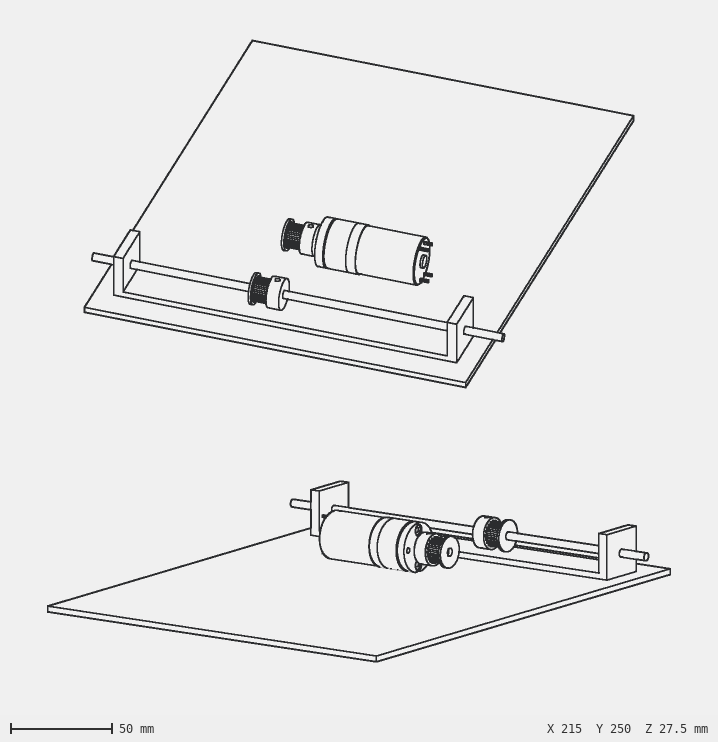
import cadquery as cq

PLATE_LENGTH = 200.0
PLATE_WIDTH = 250.0
PLATE_THICKNESS = 3.0

BRACKET_LENGTH = 180.0
BRACKET_WIDTH = 25.0
BRACKET_HEIGHT = 23.0
BRACKET_WALL = 5.0
BRACKET_FLOOR = 3.0
BRACKET_EDGE_GAP = 15.0

ROD_DIAMETER = 4.0
ROD_LENGTH = 215.0
ROD_START_X = -105.0
ROD_Y = -PLATE_WIDTH / 2 + BRACKET_EDGE_GAP + BRACKET_WIDTH / 2
ROD_Z = PLATE_THICKNESS + BRACKET_HEIGHT / 2

PULLEY_START_X = -21.0
PULLEY_LENGTH = 16.0
PULLEY_END_X = PULLEY_START_X + PULLEY_LENGTH
PULLEY_DIAMETER = 16.0
PULLEY_BORE = ROD_DIAMETER
HUB_LENGTH = 6.8
RIM_THICKNESS = 1.2
RIM_SLOPE = 0.5
TOOTH_DIAMETER = 12.2
TOOTH_COUNT = 20
TOOTH_GROOVE_DIAMETER = 1.0
SET_SCREW_DIAMETER = 2.5

GEARBOX_DIAMETER = 25.0
CAN_DIAMETER = 24.2
NECK_DIAMETER = CAN_DIAMETER
CAN_CHAMFER = 0.5
CAN_SIDE_Y = -60.0
MOTOR_Y = CAN_SIDE_Y + CAN_DIAMETER / 2
MOTOR_Z = 15.0

FRONT_CAP_LENGTH = 4.2
NECK_LENGTH = 0.5
GEARBOX_LENGTH = 11.5
MOTOR_RING_LENGTH = 5.0
CAN_LENGTH = 30.8

CAP_X = -2.0
NECK_X = CAP_X + FRONT_CAP_LENGTH
GEARBOX_X = NECK_X + NECK_LENGTH
RING_X = GEARBOX_X + GEARBOX_LENGTH
CAN_X = RING_X + MOTOR_RING_LENGTH
CAN_END_X = CAN_X + CAN_LENGTH

FRONT_BOSS_DIAMETER = 7.0
FRONT_BOSS_LENGTH = 2.0
REAR_BOSS_DIAMETER = 6.5
REAR_BOSS_LENGTH = 1.2

SHAFT_DIAMETER = PULLEY_BORE
SHAFT_RECESS = 2.0
SHAFT_FLAT_HEIGHT = 1.5

FACE_HOLE_COUNT = 4
FACE_HOLE_RADIUS = 8.8
FACE_HOLE_DIAMETER = 2.5
COUNTERBORE_COUNT = 2
COUNTERBORE_DIAMETER = 5.5
COUNTERBORE_DEPTH = 1.0

TERMINAL_LENGTH = 4.2
TERMINAL_THICKNESS = 1.0
TERMINAL_Y_OFFSET = 2.8
TERMINAL_Z_OFFSET = 9.2


def x_cylinder(diameter, start, length, y, z):
    """Cylinder along +X whose first face is at X = start."""
    return cq.Workplane("YZ", origin=(start, y, z)).circle(diameter / 2).extrude(length)


def motor_cylinder(diameter, start, length):
    """Cylinder on the axis of the gear motor."""
    return x_cylinder(diameter, start, length, MOTOR_Y, MOTOR_Z)


def standing_block(length, width, height, y, z):
    """Block centred on X = 0 and on the given Y, with its lower face at the given Z."""
    return cq.Workplane("XY", origin=(0, y, z)).box(length, width, height, centered=(True, True, False))


def make_plate():
    """Flat plate with a shallow trough that the gear motor lies in."""
    plate = standing_block(PLATE_LENGTH, PLATE_WIDTH, PLATE_THICKNESS, 0, 0)
    gearbox_trough = motor_cylinder(GEARBOX_DIAMETER, CAP_X, CAN_X - CAP_X)
    can_trough = motor_cylinder(CAN_DIAMETER, CAN_X, CAN_LENGTH)
    return plate.cut(gearbox_trough).cut(can_trough)


def make_bracket():
    """Floor with a wall at each end, both walls bored for the rod."""
    blank = standing_block(BRACKET_LENGTH, BRACKET_WIDTH, BRACKET_HEIGHT, ROD_Y, PLATE_THICKNESS)
    opening = standing_block(
        BRACKET_LENGTH - 2 * BRACKET_WALL,
        BRACKET_WIDTH,
        BRACKET_HEIGHT - BRACKET_FLOOR,
        ROD_Y,
        PLATE_THICKNESS + BRACKET_FLOOR,
    )
    rod_hole = x_cylinder(ROD_DIAMETER, -BRACKET_LENGTH / 2, BRACKET_LENGTH, ROD_Y, ROD_Z)
    return blank.cut(opening).cut(rod_hole)


def make_rod():
    return x_cylinder(ROD_DIAMETER, ROD_START_X, ROD_LENGTH, ROD_Y, ROD_Z)


def make_pulley(y, z):
    """Pulley on an X axis at the given Y and Z, with its set screw hole on top of the hub."""
    rim_radius = PULLEY_DIAMETER / 2
    tooth_radius = TOOTH_DIAMETER / 2
    rim_x = PULLEY_START_X + RIM_THICKNESS
    hub_x = PULLEY_END_X - HUB_LENGTH
    body = (
        cq.Workplane("XY")
        .polyline([
            (PULLEY_START_X, 0),
            (PULLEY_START_X, rim_radius),
            (rim_x, rim_radius),
            (rim_x + RIM_SLOPE, tooth_radius),
            (hub_x - RIM_SLOPE, tooth_radius),
            (hub_x, rim_radius),
            (PULLEY_END_X, rim_radius),
            (PULLEY_END_X, 0),
        ])
        .close()
        .revolve(360, (0, 0, 0), (1, 0, 0))
        .translate((0, y, z))
    )
    tooth_grooves = (
        cq.Workplane("YZ", origin=(rim_x, y, z))
        .polarArray(tooth_radius, 0, 360, TOOTH_COUNT)
        .circle(TOOTH_GROOVE_DIAMETER / 2)
        .extrude(hub_x - rim_x)
    )
    bore = x_cylinder(PULLEY_BORE, PULLEY_START_X, PULLEY_LENGTH, y, z)
    set_screw_hole = (
        cq.Workplane("XY", origin=(PULLEY_END_X - HUB_LENGTH / 2, y, z))
        .circle(SET_SCREW_DIAMETER / 2)
        .extrude(rim_radius)
    )
    return body.cut(tooth_grooves).cut(bore).cut(set_screw_hole)


def make_shaft():
    """Output shaft with a flat on top, ending inside the pulley bore."""
    start_x = PULLEY_START_X + SHAFT_RECESS
    shaft = motor_cylinder(SHAFT_DIAMETER, start_x, CAP_X - start_x)
    flat = cq.Workplane("XY", origin=(start_x, MOTOR_Y, MOTOR_Z + SHAFT_FLAT_HEIGHT)).box(
        PULLEY_END_X - start_x, SHAFT_DIAMETER, SHAFT_DIAMETER, centered=(False, True, False)
    )
    return shaft.cut(flat)


def make_front_cap():
    """Front disc with its boss, output shaft and mounting holes."""
    disc = motor_cylinder(GEARBOX_DIAMETER, CAP_X, FRONT_CAP_LENGTH)
    boss = motor_cylinder(FRONT_BOSS_DIAMETER, CAP_X - FRONT_BOSS_LENGTH, FRONT_BOSS_LENGTH)
    face = cq.Workplane("YZ", origin=(CAP_X, MOTOR_Y, MOTOR_Z))
    holes = (
        face.polarArray(FACE_HOLE_RADIUS, 0, 360, FACE_HOLE_COUNT)
        .circle(FACE_HOLE_DIAMETER / 2)
        .extrude(FRONT_CAP_LENGTH)
    )
    counterbores = (
        face.polarArray(FACE_HOLE_RADIUS, 90, 360, COUNTERBORE_COUNT)
        .circle(COUNTERBORE_DIAMETER / 2)
        .extrude(COUNTERBORE_DEPTH)
    )
    return disc.cut(holes).cut(counterbores).union(boss).union(make_shaft())


def make_gearbox():
    """Gearbox drum with a narrow neck that leaves a groove behind the front cap."""
    neck = motor_cylinder(NECK_DIAMETER, NECK_X, NECK_LENGTH)
    drum = motor_cylinder(GEARBOX_DIAMETER, GEARBOX_X, GEARBOX_LENGTH)
    return neck.union(drum)


def make_motor():
    """Motor can with a front ring, a rear boss and four terminals."""
    can = motor_cylinder(CAN_DIAMETER, CAN_X, CAN_LENGTH).faces(">X").chamfer(CAN_CHAMFER)
    ring = motor_cylinder(GEARBOX_DIAMETER, RING_X, MOTOR_RING_LENGTH)
    rear_boss = motor_cylinder(REAR_BOSS_DIAMETER, CAN_END_X, REAR_BOSS_LENGTH)
    terminals = (
        cq.Workplane("YZ", origin=(CAN_END_X, MOTOR_Y, MOTOR_Z))
        .rarray(2 * TERMINAL_Y_OFFSET, 2 * TERMINAL_Z_OFFSET, 2, 2)
        .rect(TERMINAL_THICKNESS, TERMINAL_THICKNESS)
        .extrude(TERMINAL_LENGTH)
    )
    return can.union(ring).union(rear_boss).union(terminals)


plate = make_plate()
bracket = make_bracket()
rod = make_rod()
front_cap = make_front_cap()
gearbox = make_gearbox()
motor = make_motor()

PULLEY_AXES = [(ROD_Y, ROD_Z), (MOTOR_Y, MOTOR_Z)]
pulleys = [make_pulley(y, z) for y, z in PULLEY_AXES]

result = cq.Compound.makeCompound([
    plate.val(),
    bracket.val(),
    rod.val(),
    front_cap.val(),
    gearbox.val(),
    motor.val(),
    *[pulley.val() for pulley in pulleys],
])